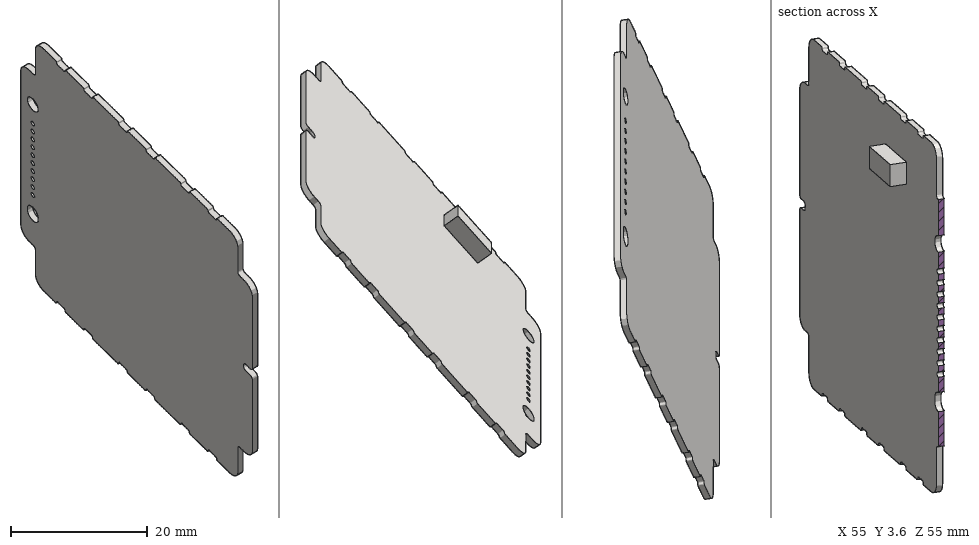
import cadquery as cq

side = 55.0
half_side = side / 2
plate_thickness = 1.0
tab_half_width = 24.05
shoulder_height = 19.5
corner_radius = 2.0
inner_corner_radius = 0.5

edge_notch_offsets = (3.25, 11.5, 18.0)
edge_notch_width = 2.0
edge_notch_depth = 0.55
edge_notch_radius = 0.25

side_notch_width = 1.45
side_notch_depth = 2.1
side_notch_floor_radius = 0.55
side_notch_mouth_radius = 0.6

hole_column_x = -24.65
mount_hole_z = 12.45
mount_hole_diameter = 2.55
mount_slot_length = 2.95
pin_hole_count = 10
pin_column_span = 16.25
pin_hole_pitch = pin_column_span / (pin_hole_count - 1)
pin_hole_diameter = 0.75

block_width = 7.85
block_height = 3.45
block_depth = 2.6
block_center_x = -8.8
block_center_z = 19.25


def front_sketch():
    """XZ sketch on the front face; a negative extrusion runs along +Y into the plate."""
    return cq.Workplane("XZ")


def rounded_slab(width, height):
    slab = front_sketch().rect(width, height).extrude(-plate_thickness)
    return slab.edges("|Y").fillet(corner_radius)


def is_inner_corner(edge):
    center = edge.Center()
    tolerance = 0.005
    at_tab_side = abs(abs(center.x) - tab_half_width) < tolerance
    at_shoulder = abs(abs(center.z) - shoulder_height) < tolerance
    return at_tab_side and at_shoulder


def cross_plate():
    upright = rounded_slab(2 * tab_half_width, side)
    crosswise = rounded_slab(side, 2 * shoulder_height)
    return upright.union(crosswise).edges("|Y").filter(is_inner_corner).fillet(inner_corner_radius)


def notch(width, depth, mouth_radius, floor_radius):
    """Cutter for a notch in the upper edge at X = 0, rounded at its mouth and its floor."""
    wall = width / 2
    mouth = wall + mouth_radius
    floor = wall - floor_radius
    floor_z = half_side - depth
    profile = (
        front_sketch()
        .moveTo(-mouth, half_side)
        .radiusArc((-wall, half_side - mouth_radius), mouth_radius)
        .lineTo(-wall, floor_z + floor_radius)
        .radiusArc((-floor, floor_z), -floor_radius)
        .lineTo(floor, floor_z)
        .radiusArc((wall, floor_z + floor_radius), -floor_radius)
        .lineTo(wall, half_side - mouth_radius)
        .radiusArc((mouth, half_side), mouth_radius)
        .close()
    )
    return profile.extrude(-plate_thickness)


def turned(cutter, angle):
    """Turn a cutter about the Y axis through the plate centre."""
    return cutter.rotate((0, 0, 0), (0, 1, 0), angle)


def cut_notches(plate):
    edge_notch = notch(edge_notch_width, edge_notch_depth, edge_notch_radius, edge_notch_radius)
    for offset in edge_notch_offsets:
        for x in (-offset, offset):
            upper_notch = edge_notch.translate((x, 0, 0))
            plate = plate.cut(upper_notch).cut(turned(upper_notch, 180))
    side_notch = notch(side_notch_width, side_notch_depth, side_notch_mouth_radius, side_notch_floor_radius)
    return plate.cut(turned(side_notch, 90))


def hole_cutters():
    round_hole = front_sketch().center(hole_column_x, mount_hole_z).circle(mount_hole_diameter / 2)
    slot = (
        front_sketch()
        .center(hole_column_x, -mount_hole_z)
        .slot2D(mount_slot_length, mount_hole_diameter, 90)
    )
    pin_holes = (
        front_sketch()
        .center(hole_column_x, 0)
        .rarray(0.55, pin_hole_pitch, 1, pin_hole_count)
        .circle(pin_hole_diameter / 2)
    )
    return [sketch.extrude(-plate_thickness) for sketch in (round_hole, slot, pin_holes)]


def back_block():
    block = front_sketch().center(block_center_x, block_center_z).rect(block_width, block_height)
    return block.extrude(-block_depth).translate((0, plate_thickness, 0))


result = cut_notches(cross_plate())
for cutter in hole_cutters():
    result = result.cut(cutter)
result = result.union(back_block())